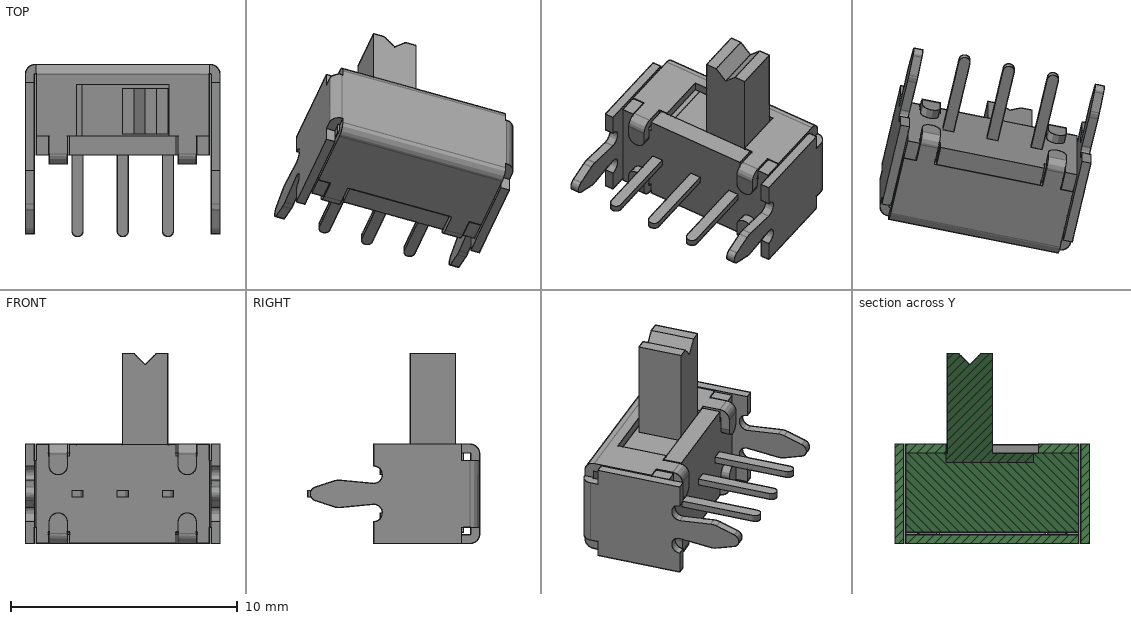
import cadquery as cq


SHEET = 0.4
BEND = 0.45
BEND_INSIDE = BEND - SHEET
SHELL_WIDTH = 8.6
SHELL_HEIGHT = 4.4
SHELL_TOP = SHELL_HEIGHT / 2
PLATE_TOP_INSIDE = SHELL_TOP - SHEET
PLATE_WIDTH = 7.645
PLATE_FRONT = -3.165
STRIP_HEIGHT = 2.96
SIDE_BACK = -0.81
SIDE_FRONT = -4.69

NOTCH_RADIUS = 0.38
NOTCH_OFFSET = 0.84
LEG_ROOT_HALF = NOTCH_OFFSET - NOTCH_RADIUS
LEG_SHOULDER = (-6.295, 0.62)
LEG_NOSE_START = (-7.27, 0.3)
LEG_TIP = -7.48
SHOULDER_RADIUS = 0.69

WINDOW_WIDTH = 4.08
WINDOW_BACK = -0.88

HOUSING_BACK = -0.71
HOUSING_FRONT = -4.0
HOUSING_BOTTOM = -1.7
FLANGE_HEIGHT = 4.335

TAB_WIDTH = 0.81
TAB_X = 2.85
TAB_FRONT = HOUSING_FRONT - SHEET
TAB_LENGTH = 1.36
TAB_GAP_OUTER = 0.035
TAB_GAP_INNER = 0.1
TAB_NOTCH_DEPTH = 0.54

KNOB_SIZE = 2.0
KNOB_X = 0.99
KNOB_BACK = -1.075
KNOB_HEIGHT = 4.0
KNOB_TOP = SHELL_TOP + KNOB_HEIGHT
VEE_WIDTH = 1.0
VEE_DEPTH = VEE_WIDTH / 2
CARRIER_LEFT = -1.81
CARRIER_RIGHT = WINDOW_WIDTH / 2
CARRIER_THICKNESS = SHEET

TERMINAL_PITCH = 1.995
TERMINAL_WIDTH = 0.5
TERMINAL_THICKNESS = 0.3
TERMINAL_TIP = -7.6


def block(x_range, y_range, z_range):
    """Box between two limits on each axis."""
    (x0, x1), (y0, y1), (z0, z1) = x_range, y_range, z_range
    return cq.Workplane("XY").box(x1 - x0, y1 - y0, z1 - z0, centered=False).translate((x0, y0, z0))


def span(width, centre=0.0):
    """Limits of a width about a centre."""
    return (centre - width / 2, centre + width / 2)


def wrap_plates():
    """Top, back and bottom plates bent from one strip."""
    outer = block(span(PLATE_WIDTH), (PLATE_FRONT, 0), span(SHELL_HEIGHT))
    inner = block(span(PLATE_WIDTH), (PLATE_FRONT, -SHEET), span(2 * PLATE_TOP_INSIDE))
    return outer.edges(">Y and |X").fillet(BEND).cut(inner.edges(">Y and |X").fillet(BEND_INSIDE))


def corner_strips():
    """Mid-height strip that wraps round the back to both side plates."""
    outer = block(span(SHELL_WIDTH), (SIDE_BACK, 0), span(STRIP_HEIGHT))
    inner = block(span(SHELL_WIDTH - 2 * SHEET), (SIDE_BACK, -SHEET), span(STRIP_HEIGHT))
    return outer.edges(">Y and |Z").fillet(BEND).cut(inner.edges(">Y and |Z").fillet(BEND_INSIDE))


def mounting_leg():
    """Tapered leg with a rounded nose, one sheet thick from X = 0."""
    shoulder_y, shoulder_z = LEG_SHOULDER
    nose_y, nose_z = LEG_NOSE_START
    leg = (
        cq.Workplane("YZ")
        .moveTo(SIDE_FRONT, -LEG_ROOT_HALF)
        .lineTo(shoulder_y, -shoulder_z)
        .lineTo(nose_y, -nose_z)
        .threePointArc((LEG_TIP, 0), (nose_y, nose_z))
        .lineTo(shoulder_y, shoulder_z)
        .lineTo(SIDE_FRONT, LEG_ROOT_HALF)
        .close()
        .extrude(SHEET)
    )
    return leg.edges("|X and (<Z or >Z)").fillet(SHOULDER_RADIUS)


def side_plate(x_start):
    """Side plate with its relief notches and mounting leg."""
    plate = block((0, SHEET), (SIDE_FRONT, SIDE_BACK), span(SHELL_HEIGHT))
    notches = (
        cq.Workplane("YZ")
        .pushPoints([(SIDE_FRONT, -NOTCH_OFFSET), (SIDE_FRONT, NOTCH_OFFSET)])
        .circle(NOTCH_RADIUS)
        .extrude(SHEET)
    )
    return plate.cut(notches).union(mounting_leg()).translate((x_start, 0, 0))


def top_tab(x_centre):
    """Tab that runs forward from the top plate and bends down to a rounded tip."""
    tip = SHELL_TOP - TAB_LENGTH
    outer = block(span(TAB_WIDTH, x_centre), (TAB_FRONT, PLATE_FRONT), (tip, SHELL_TOP))
    inner = block(span(TAB_WIDTH, x_centre), (HOUSING_FRONT, PLATE_FRONT), (tip, PLATE_TOP_INSIDE))
    tab = (
        outer.edges("<Y and >Z").fillet(BEND)
        .cut(inner.edges("<Y and >Z").fillet(BEND_INSIDE))
    )
    tip_radius = TAB_WIDTH / 2
    face_outline = (
        cq.Workplane("XZ")
        .moveTo(x_centre - tip_radius, SHELL_TOP)
        .lineTo(x_centre - tip_radius, tip + tip_radius)
        .threePointArc((x_centre, tip), (x_centre + tip_radius, tip + tip_radius))
        .lineTo(x_centre + tip_radius, SHELL_TOP)
        .close()
        .extrude(-TAB_FRONT)
    )
    return tab.intersect(face_outline)


def make_shell():
    shell = wrap_plates().union(corner_strips())
    for x_start in (-SHELL_WIDTH / 2, SHELL_WIDTH / 2 - SHEET):
        shell = shell.union(side_plate(x_start))
    for x_centre in (-TAB_X, TAB_X):
        tab = top_tab(x_centre)
        shell = shell.union(tab).union(tab.mirror("XY"))
    window = block(span(WINDOW_WIDTH), (PLATE_FRONT, WINDOW_BACK), (PLATE_TOP_INSIDE, SHELL_TOP))
    return shell.cut(window)


def carrier():
    """Flat foot of the slider, flush with the top of the housing."""
    return block(
        (CARRIER_LEFT, CARRIER_RIGHT),
        (PLATE_FRONT, WINDOW_BACK),
        (PLATE_TOP_INSIDE - CARRIER_THICKNESS, PLATE_TOP_INSIDE),
    )


def make_housing():
    body = block(span(PLATE_WIDTH), (PLATE_FRONT, HOUSING_BACK), (HOUSING_BOTTOM, PLATE_TOP_INSIDE))
    flange = block(span(PLATE_WIDTH), (HOUSING_FRONT, PLATE_FRONT), span(FLANGE_HEIGHT))
    notch = block(
        (TAB_X - TAB_WIDTH / 2 - TAB_GAP_INNER, TAB_X + TAB_WIDTH / 2 + TAB_GAP_OUTER),
        (HOUSING_FRONT, PLATE_FRONT),
        (SHELL_TOP - TAB_NOTCH_DEPTH, SHELL_TOP),
    )
    notch_pair = notch.union(notch.mirror("YZ"))
    flange = flange.cut(notch_pair).cut(notch_pair.mirror("XY"))
    return body.union(flange).cut(carrier())


def make_slider():
    knob = block(
        span(KNOB_SIZE, KNOB_X),
        (KNOB_BACK - KNOB_SIZE, KNOB_BACK),
        (PLATE_TOP_INSIDE, KNOB_TOP),
    )
    vee = (
        cq.Workplane("XZ")
        .moveTo(KNOB_X - VEE_WIDTH / 2, KNOB_TOP)
        .lineTo(KNOB_X, KNOB_TOP - VEE_DEPTH)
        .lineTo(KNOB_X + VEE_WIDTH / 2, KNOB_TOP)
        .close()
        .extrude(KNOB_SIZE - KNOB_BACK)
    )
    return carrier().union(knob.cut(vee))


def make_terminal(x_centre):
    """Flat terminal with a rounded tip, standing on the front of the housing."""
    half = TERMINAL_WIDTH / 2
    return (
        cq.Workplane("XY", origin=(x_centre, 0, -TERMINAL_THICKNESS / 2))
        .moveTo(-half, HOUSING_FRONT)
        .lineTo(-half, TERMINAL_TIP + half)
        .threePointArc((0, TERMINAL_TIP), (half, TERMINAL_TIP + half))
        .lineTo(half, HOUSING_FRONT)
        .close()
        .extrude(TERMINAL_THICKNESS)
    )


shell = make_shell()
housing = make_housing()
slider = make_slider()
terminals = [make_terminal(position * TERMINAL_PITCH) for position in (-1, 0, 1)]

result = cq.Compound.makeCompound(
    [shell.val(), housing.val(), slider.val(), *[terminal.val() for terminal in terminals]]
)